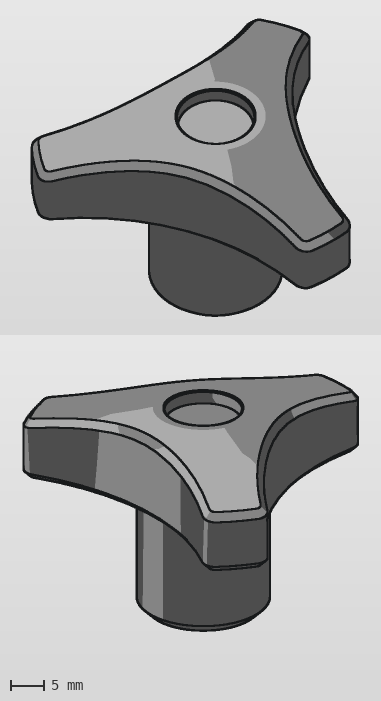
import cadquery as cq
import math

stem_length = 19.0
stem_diameter = 20.0
stem_chamfer = 1.55
head_height = 14.0
tip_radius = 27.5
waist_radius = 12.05
side_radius = 41.15
corner_radius = 2.0
edge_chamfer = 1.0
crown_flat_radius = 7.55
crown_angle = 12.8
recess_diameter = 12.0
recess_floor_radius = 5.65
recess_depth = 2.05
recess_rim_chamfer = 0.2
arm_count = 3

total_height = stem_length + head_height
arm_spacing = 360 / arm_count


def make_head():
    """Three-armed plate under a conical crown, bevelled top and bottom."""
    crown_drop = (tip_radius - crown_flat_radius) * math.tan(math.radians(crown_angle))
    head = (
        cq.Workplane("XZ")
        .moveTo(0, stem_length)
        .lineTo(tip_radius, stem_length)
        .lineTo(tip_radius, total_height - crown_drop)
        .lineTo(crown_flat_radius, total_height)
        .lineTo(0, total_height)
        .close()
        .revolve(360, (0, 0, 0), (0, 1, 0))
    )
    for i in range(arm_count):
        hollow = (
            cq.Workplane("XY", origin=(0, 0, stem_length))
            .center(0, -waist_radius - side_radius)
            .circle(side_radius)
            .extrude(head_height)
            .rotate((0, 0, 0), (0, 0, 1), i * arm_spacing)
        )
        head = head.cut(hollow)
    head = head.edges("|Z").fillet(corner_radius)
    head = head.faces("<Z").edges().chamfer(edge_chamfer)
    return head.faces("%CONE").edges("not %CIRCLE").chamfer(edge_chamfer)


def make_stem():
    """Round stem with a bevelled lower end."""
    stem = cq.Workplane("XY").circle(stem_diameter / 2).extrude(stem_length)
    return stem.faces("<Z").chamfer(stem_chamfer)


def make_recess():
    """Shallow round pocket with a tapered wall and a bevelled rim."""
    rim_radius = recess_diameter / 2
    floor_z = total_height - recess_depth
    return (
        cq.Workplane("XZ")
        .moveTo(0, floor_z)
        .lineTo(recess_floor_radius, floor_z)
        .lineTo(rim_radius - recess_rim_chamfer, total_height - recess_rim_chamfer)
        .lineTo(rim_radius, total_height)
        .lineTo(0, total_height)
        .close()
        .revolve(360, (0, 0, 0), (0, 1, 0))
    )


result = make_head().union(make_stem()).cut(make_recess())